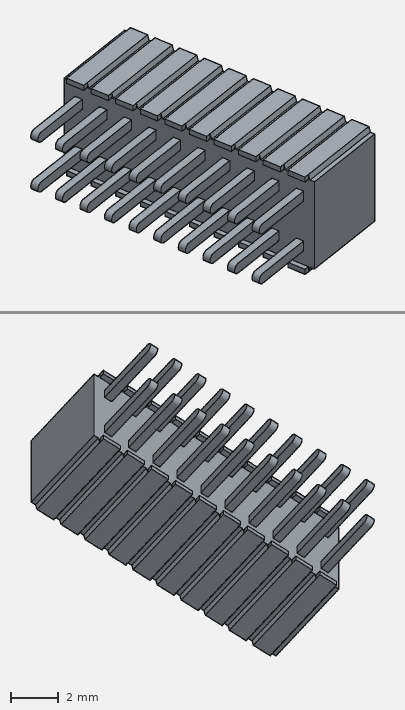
import cadquery as cq

columns = 10
column_span = 11.43
pitch = column_span / (columns - 1)
row_spacing = 2.55

housing_length = 12.93
housing_depth = 4.32
overall_height = 4.98
groove_depth = 0.26
core_height = overall_height - 2 * groove_depth

rib_crest_width = 0.89
rib_base_width = 1.05
standoff_length = 0.25

overall_depth = 7.49
pin_width = 0.37
pin_height = 0.5
tip_radius = pin_height / 2

column_positions = [i * pitch - column_span / 2 for i in range(columns)]


def make_core():
    return cq.Workplane("XY").box(
        housing_length, housing_depth, core_height
    ).translate((0, -housing_depth / 2, 0))


def make_rib(x):
    """Tapered rib on the top face with a straight standoff at its front end."""
    base_z = core_height / 2
    crest_z = overall_height / 2
    rib = (
        cq.Workplane("XZ")
        .polyline([
            (x - rib_base_width / 2, base_z),
            (x + rib_base_width / 2, base_z),
            (x + rib_crest_width / 2, crest_z),
            (x - rib_crest_width / 2, crest_z),
        ])
        .close()
        .extrude(housing_depth)
    )
    standoff = (
        cq.Workplane("XY")
        .box(rib_crest_width, standoff_length, groove_depth, centered=(True, False, False))
        .translate((x, -housing_depth - standoff_length, base_z))
    )
    return rib.union(standoff)


def make_pin(x):
    """Upper-row pin with a rounded tip."""
    tip_start_y = tip_radius - overall_depth
    return (
        cq.Workplane("YZ", origin=(x - pin_width / 2, 0, row_spacing / 2))
        .moveTo(-housing_depth, tip_radius)
        .lineTo(tip_start_y, tip_radius)
        .threePointArc((-overall_depth, 0), (tip_start_y, -tip_radius))
        .lineTo(-housing_depth, -tip_radius)
        .close()
        .extrude(pin_width)
    )


result = make_core()
for x in column_positions:
    for feature in (make_rib(x), make_pin(x)):
        result = result.union(feature).union(feature.mirror("XY"))